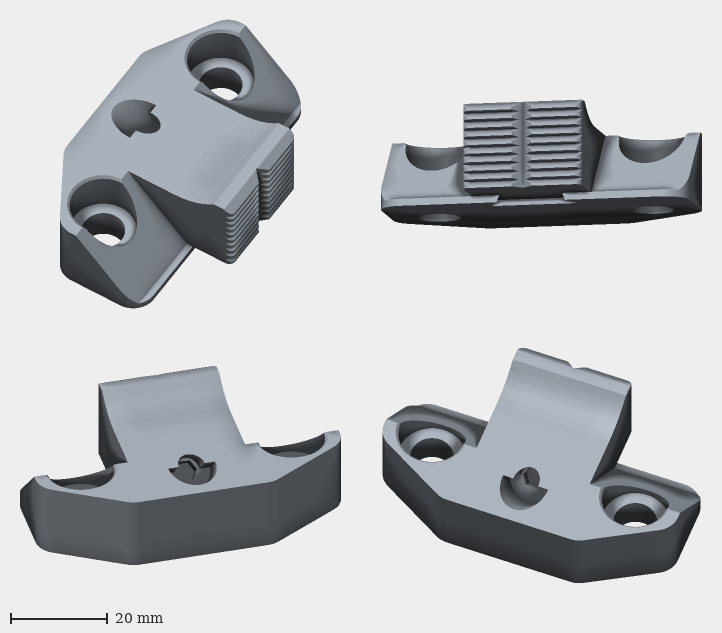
import cadquery as cq
import math


base_length = 30.0
base_width = 65.0
base_height = 16.0
total_height = 19.5
total_length = 39.5

back_half_width = 15.0
back_angle = 30.0
corner_radius = 5.0

lip_height = 1.5
pad_thickness = 1.0
pad_rise = pad_thickness * math.sqrt(2)
pad_top_x = base_length - (base_height - lip_height)
ramp_top_x = pad_top_x - pad_rise

bolt_x = 14.5
bolt_spacing = 45.0
bolt_diameter = 9.0
counterbore_diameter = 14.0
counterbore_floor_z = 7.0
counterbore_chamfer = 0.5

jaw_width = 25.0
dovetail_depth = 4.0
dovetail_flank_angle = 30.0
dovetail_root_half_width = 9.0
dovetail_mouth_half_width = dovetail_root_half_width - dovetail_depth * math.tan(
    math.radians(dovetail_flank_angle)
)
dovetail_root_x = pad_top_x - dovetail_depth * math.sqrt(2)

screw_recess_diameter = 10.0
screw_recess_depth = 6.45
key_access_diameter = 5.5
hex_across_flats = 4.0
hex_depth = 3.0

saddle_start_x = 25.5
saddle_radius = 15.0
nose_corner_radius = 1.5
tooth_count = 10
tooth_depth = 1.8
tooth_land = 0.5
tooth_gap_depth = 1.4
tooth_pitch = (total_height - lip_height) / tooth_count
tooth_flank_drop = tooth_pitch - tooth_land
notch_depth = 2.0


def side_prism(outline, width):
    """Extrude a closed XZ outline to a width centred on Y = 0."""
    return outline.close().extrude(width / 2, both=True)


def dovetail(height):
    """Dovetail running down the ramp from the top of the base."""
    section = cq.Wire.makePolygon(
        [
            cq.Vector(pad_top_x, -dovetail_mouth_half_width, base_height),
            cq.Vector(dovetail_root_x, -dovetail_root_half_width, base_height),
            cq.Vector(dovetail_root_x, dovetail_root_half_width, base_height),
            cq.Vector(pad_top_x, dovetail_mouth_half_width, base_height),
        ],
        close=True,
    )
    return cq.Workplane(cq.Solid.extrudeLinear(section, [], cq.Vector(height, 0, -height)))


def screw_plane(depth):
    """Plane square to the screw axis, at a depth from the top of the base."""
    step = depth / math.sqrt(2)
    return cq.Plane(
        origin=(dovetail_root_x + step, 0, base_height - step), xDir=(0, 1, 0), normal=(1, 0, -1)
    )


def screw_recess(diameter):
    """Flat-bottomed round recess with a hexagon socket in its floor."""
    bore = cq.Workplane(screw_plane(-diameter)).circle(diameter / 2).extrude(diameter + screw_recess_depth)
    across_corners = hex_across_flats / math.cos(math.radians(30))
    socket = cq.Workplane(screw_plane(screw_recess_depth)).polygon(6, across_corners).extrude(hex_depth)
    return bore.union(socket)


def bolt_hole_cutter():
    """Through hole with a counterbore, chamfered at the top of the base."""
    counterbore_radius = counterbore_diameter / 2
    half_section = (
        cq.Workplane("XZ")
        .lineTo(bolt_diameter / 2, 0)
        .lineTo(bolt_diameter / 2, counterbore_floor_z)
        .lineTo(counterbore_radius, counterbore_floor_z)
        .lineTo(counterbore_radius, base_height - counterbore_chamfer)
        .lineTo(counterbore_radius + counterbore_chamfer, base_height)
        .lineTo(0, base_height)
        .close()
    )
    return half_section.revolve(360, (0, 0, 0), (0, 1, 0))


def base_block():
    """Base outline with rounded corners, cut down to the ramp and its lip."""
    half_width = base_width / 2
    back_corner_x = (half_width - back_half_width) * math.tan(math.radians(back_angle))
    block = (
        cq.Workplane("XY")
        .moveTo(0, -back_half_width)
        .lineTo(back_corner_x, -half_width)
        .lineTo(base_length, -half_width)
        .lineTo(base_length, half_width)
        .lineTo(back_corner_x, half_width)
        .lineTo(0, back_half_width)
        .close()
        .extrude(base_height)
        .edges("|Z")
        .fillet(corner_radius)
    )
    profile = (
        cq.Workplane("XZ")
        .lineTo(base_length, 0)
        .lineTo(base_length, lip_height)
        .lineTo(base_length - pad_rise, lip_height)
        .lineTo(ramp_top_x, base_height)
        .lineTo(0, base_height)
    )
    return block.intersect(side_prism(profile, base_width))


def ramp_pad():
    """Raised strip on the ramp, as wide as the jaw."""
    profile = (
        cq.Workplane("XZ")
        .moveTo(base_length - pad_rise, lip_height)
        .lineTo(base_length, lip_height)
        .lineTo(pad_top_x, base_height)
        .lineTo(ramp_top_x, base_height)
    )
    return side_prism(profile, jaw_width)


def make_base():
    base = base_block().union(ramp_pad())
    base = base.cut(dovetail(base_height))
    base = base.cut(screw_recess(screw_recess_diameter))
    for side in (-1, 1):
        base = base.cut(bolt_hole_cutter().translate((bolt_x, side * bolt_spacing / 2, 0)))
    return base


def jaw_wedge():
    """Jaw without its dovetail: sloping back, concave saddle and upright nose."""
    saddle_rise = total_height - base_height
    saddle_run = math.sqrt(saddle_radius**2 - (saddle_radius - saddle_rise) ** 2)
    half_sweep = math.asin(saddle_run / saddle_radius) / 2
    saddle_middle = (
        saddle_start_x + saddle_radius * math.sin(half_sweep),
        base_height + saddle_radius * (1 - math.cos(half_sweep)),
    )
    profile = (
        cq.Workplane("XZ")
        .moveTo(base_length, lip_height)
        .lineTo(total_length, lip_height)
        .lineTo(total_length, total_height)
        .lineTo(saddle_start_x + saddle_run, total_height)
        .threePointArc(saddle_middle, (saddle_start_x, base_height))
        .lineTo(pad_top_x, base_height)
    )
    return side_prism(profile, jaw_width).edges("|Z and >X").fillet(nose_corner_radius)


def nose_notch():
    """Upright 90 degree V-notch in the middle of the nose."""
    return (
        cq.Workplane("XY")
        .moveTo(total_length - notch_depth, 0)
        .lineTo(total_length, -notch_depth)
        .lineTo(total_length, notch_depth)
        .close()
        .extrude(total_height)
    )


def crest_bevel():
    """Slope along the top of the nose, the upper flank of the first tooth."""
    profile = (
        cq.Workplane("XZ")
        .moveTo(total_length - tooth_depth, total_height)
        .lineTo(total_length, total_height)
        .lineTo(total_length, total_height - tooth_flank_drop)
    )
    return side_prism(profile, jaw_width)


def tooth_gap(top_z):
    """Groove between two teeth; its floor is parallel to the crest bevel."""
    root_z = top_z - tooth_flank_drop * (1 - tooth_gap_depth / tooth_depth)
    profile = (
        cq.Workplane("XZ")
        .moveTo(total_length - tooth_gap_depth, root_z)
        .lineTo(total_length, top_z)
        .lineTo(total_length, top_z - tooth_flank_drop)
    )
    return side_prism(profile, jaw_width)


def make_jaw():
    jaw = jaw_wedge().union(dovetail(base_height - lip_height))
    jaw = jaw.cut(screw_recess(key_access_diameter))
    jaw = jaw.cut(nose_notch()).cut(crest_bevel())
    for gap in range(1, tooth_count):
        jaw = jaw.cut(tooth_gap(total_height - gap * tooth_pitch))
    return jaw


base = make_base()
jaw = make_jaw()

result = cq.Compound.makeCompound([base.solids().val(), jaw.solids().val()])